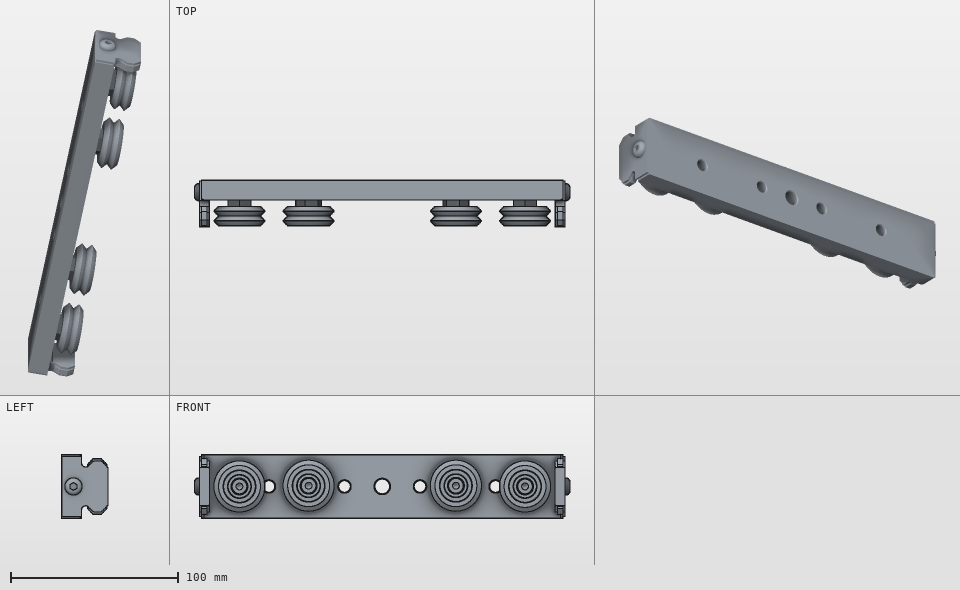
import cadquery as cq
import math

overall_length = 224.2

plate_length = 215.6
plate_height = 38.0
plate_back = 14.0
plate_front = 2.0
end_chamfer_along_x = 1.3
end_chamfer_along_y = 0.7
side_hole_pitch = 45.0
side_hole_places = (-1.5, -0.5, 0.5, 1.5)
hole_chamfer = 0.55
centre_hole_diameter = 8.7
side_hole_diameter = 7.0

outer_roller_x = 85.2
inner_roller_x = 44.0
inner_roller_z = 0.5
inner_spacer_turn = 15.0
spacer_across_flats = 14.0
wheel_back = -1.68
wheel_width = 11.7
wheel_radius = 15.2
ridge_flat = 0.34
ridge_height = (wheel_width - 2 * ridge_flat) / 4
valley_radius = wheel_radius - ridge_height
shield_outer_radius = 9.6
shield_inner_radius = 7.0
hub_radius = 4.7
face_recess = 0.34
dimple_radius = 2.0
dimple_depth = 1.8

flange_thickness = 1.3
flange_height = 35.9
flange_back = 13.5
flange_front = 1.8
foot_thickness = 6.0
foot_front = -14.0
lobe_half_height = 15.2
lobe_corner = 4.0
lobe_top_back = -5.4
neck_side_half_height = 13.5
neck_bottom_y = -1.0
neck_bottom_half_height = 11.7
neck_front = -1.68
neck_front_half_height = 11.9
tongue_rise = 1.3
tongue_thickness = 3.4
tongue_front = -13.2
tongue_corner = 3.4
tongue_top_back = -5.0
relief_back = -0.7
relief_half_height = 11.0

screw_y = 6.7
screw_head_radius = 5.2
screw_tip_radius = 2.5
screw_socket_across_flats = 4.0
screw_socket_depth = 1.8

cap_outer_x = plate_length / 2 + flange_thickness
screw_head_height = overall_length / 2 - cap_outer_x


def hexagon_diameter(across_flats):
    """Corner-to-corner diameter of a hexagon."""
    return across_flats / math.cos(math.pi / 6)


def revolve_about_y(profile):
    """Solid of revolution about Y from (radius, y) points."""
    return cq.Workplane("XY").polyline(profile).close().revolve(360, (0, 0), (0, 1))


def make_hole_cutter(diameter):
    """Through hole along Y, chamfered at both faces of the plate."""
    radius = diameter / 2
    rim_radius = radius + hole_chamfer
    return revolve_about_y([
        (0, plate_front),
        (rim_radius, plate_front),
        (radius, plate_front + hole_chamfer),
        (radius, plate_back - hole_chamfer),
        (rim_radius, plate_back),
        (0, plate_back),
    ])


def make_plate():
    half_length = plate_length / 2
    chamfer_x = half_length - end_chamfer_along_x
    chamfer_y = plate_front + end_chamfer_along_y
    outline = [
        (-half_length, plate_back),
        (-half_length, chamfer_y),
        (-chamfer_x, plate_front),
        (chamfer_x, plate_front),
        (half_length, chamfer_y),
        (half_length, plate_back),
    ]
    plate = cq.Workplane("XY").polyline(outline).close().extrude(plate_height / 2, both=True)
    plate = plate.cut(make_hole_cutter(centre_hole_diameter))
    for place in side_hole_places:
        side_hole = make_hole_cutter(side_hole_diameter)
        plate = plate.cut(side_hole.translate((place * side_hole_pitch, 0, 0)))
    return plate


def make_wheel():
    wheel_middle = wheel_back - wheel_width / 2
    wheel_front = wheel_back - wheel_width
    recess_floor = wheel_front + face_recess
    profile = [(0, wheel_back)]
    for ridge_back in (wheel_back, wheel_middle):
        land_back = ridge_back - ridge_height
        profile += [
            (valley_radius, ridge_back),
            (wheel_radius, land_back),
            (wheel_radius, land_back - ridge_flat),
        ]
    profile += [
        (valley_radius, wheel_front),
        (shield_outer_radius + face_recess / 2, wheel_front),
        (shield_outer_radius - face_recess / 2, recess_floor),
        (shield_inner_radius + face_recess / 2, recess_floor),
        (shield_inner_radius - face_recess / 2, wheel_front),
        (hub_radius + face_recess, wheel_front),
        (hub_radius, recess_floor),
        (hub_radius - face_recess, wheel_front),
        (dimple_radius, wheel_front),
        (0, wheel_front + dimple_depth),
    ]
    return revolve_about_y(profile)


def make_roller(x, z, spacer_turn):
    spacer = (
        cq.Workplane("XZ", origin=(0, plate_front, 0))
        .polygon(6, hexagon_diameter(spacer_across_flats))
        .extrude(plate_front - wheel_back)
        .rotate((0, 0, 0), (0, 1, 0), 30 + spacer_turn)
    )
    return make_wheel().union(spacer).translate((x, 0, z))


def make_lobe(rise, front, corner, top_back, thickness):
    """Upper half of the foot's widened front part; rise is its growth in Z over the plain foot."""
    top = lobe_half_height + rise
    outline = [
        (neck_front, 0),
        (neck_front, neck_front_half_height + rise),
        (top_back, top),
        (front + corner, top),
        (front, top - corner),
        (front, 0),
    ]
    return cq.Workplane("YZ").polyline(outline).close().extrude(thickness)


def make_neck():
    """Upper half of the foot between the flange and the lobe, under a round notch."""
    return (
        cq.Workplane("YZ")
        .moveTo(flange_front, 0)
        .lineTo(flange_front, neck_side_half_height)
        .threePointArc((neck_bottom_y, neck_bottom_half_height), (neck_front, neck_front_half_height))
        .lineTo(neck_front, 0)
        .close()
        .extrude(foot_thickness)
    )


def make_cap():
    """End cap of the +X end, first modelled with its outer side at X = 0, then flipped into place."""
    flange = (
        cq.Workplane("XY")
        .box(flange_thickness, flange_back - flange_front, flange_height)
        .translate((flange_thickness / 2, (flange_back + flange_front) / 2, 0))
    )
    lobe = make_lobe(0, foot_front, lobe_corner, lobe_top_back, foot_thickness)
    tongue = make_lobe(tongue_rise, tongue_front, tongue_corner, tongue_top_back, tongue_thickness)
    half_foot = make_neck().union(lobe).union(tongue.translate((flange_thickness, 0, 0)))
    foot = half_foot.union(half_foot.mirror("XY"))
    relief = (
        cq.Workplane("XY")
        .box(foot_thickness, flange_front - relief_back, 2 * relief_half_height)
        .translate((flange_thickness + foot_thickness / 2, (flange_front + relief_back) / 2, 0))
    )
    cap = flange.union(foot.cut(relief))
    return cap.mirror("YZ").translate((cap_outer_x, 0, 0))


def make_screw():
    """Button head on the +X cap; its dome is a circular arc tangent to the flat tip."""
    drop = screw_head_radius - screw_tip_radius
    dome_radius = (screw_head_height**2 + drop**2) / (2 * screw_head_height)
    diagonal = dome_radius * math.cos(math.pi / 4)
    dome_centre_x = screw_head_height - dome_radius
    head = (
        cq.Workplane("XY")
        .lineTo(0, screw_head_radius)
        .threePointArc(
            (dome_centre_x + diagonal, screw_tip_radius + diagonal),
            (screw_head_height, screw_tip_radius),
        )
        .lineTo(screw_head_height, 0)
        .close()
        .revolve(360, (0, 0), (1, 0))
    )
    socket = (
        cq.Workplane("YZ", origin=(screw_head_height, 0, 0))
        .polygon(6, hexagon_diameter(screw_socket_across_flats))
        .extrude(-screw_socket_depth)
        .rotate((0, 0, 0), (1, 0, 0), 30)
    )
    return head.cut(socket).translate((cap_outer_x, screw_y, 0))


plate = make_plate()
rollers = []
caps = []
screws = []
for side in (-1, 1):
    rollers.append(make_roller(side * outer_roller_x, 0, 0))
    rollers.append(make_roller(side * inner_roller_x, inner_roller_z, side * inner_spacer_turn))
    caps.append(make_cap() if side > 0 else make_cap().mirror("YZ"))
    screws.append(make_screw() if side > 0 else make_screw().mirror("YZ"))

result = cq.Compound.makeCompound([body.val() for body in [plate, *rollers, *caps, *screws]])